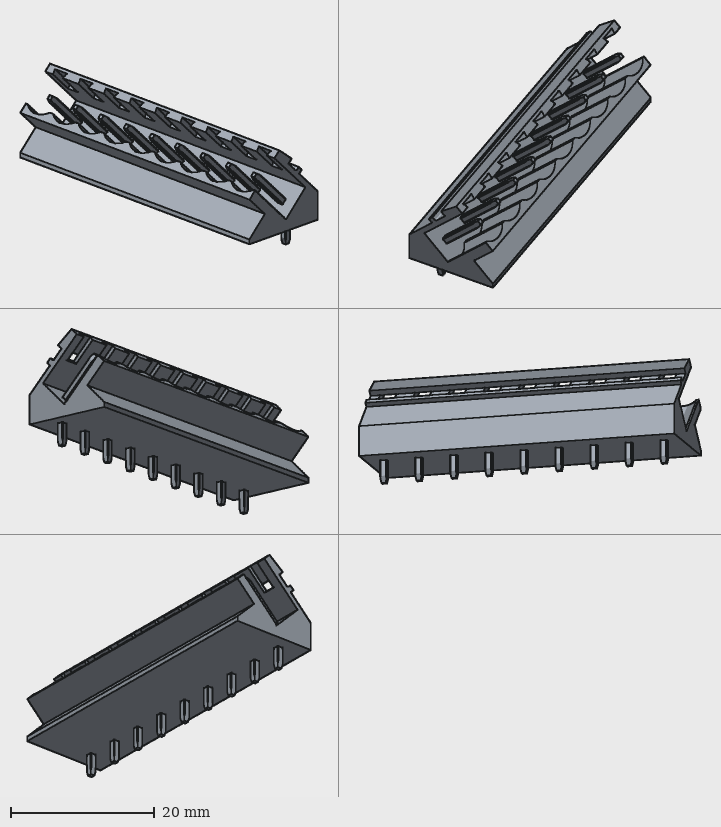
import cadquery as cq
import math


length = 45.7
pin_count = 9
pitch = length / pin_count
depth = 13.3

tilt = math.radians(45)
slot_corner_y = -6.15
slot_corner_z = 1.8
slot_width = 5.3
arm_length = 8.5
foot_slope_along = 4.3

lower_arm_thickness = 1.55
upper_arm_thickness = 0.82
head_start_along = 5.45
head_step_height = 0.85
head_tip_height = 0.5

rib_start_along = 2.5
rib_width = 0.82
rib_height = 0.7
rib_fillet = 0.27

channel_start_along = 4.35
channel_inner_width = 1.95
channel_outer_width = 2.4

scallop_radius = 3.3
scallop_depth = 0.85

pin_width = 1.0
pin_edge_chamfer = 0.15
pin_tip_length = 0.95
pin_tip_width = 0.65
lead_y = -3.8
lead_drop = 3.2
contact_across = 2.3
contact_end_along = 7.65

arm_outer_across = slot_width + upper_arm_thickness


def slot_point(along, across):
    """Return (y, z) of a point given in the tilted directions of the slot."""
    y = slot_corner_y - along * math.cos(tilt) + across * math.sin(tilt)
    z = slot_corner_z + along * math.sin(tilt) + across * math.cos(tilt)
    return y, z


def slot_plane(along):
    """Plane square to the slot: local x is X, local y runs across, the normal runs along."""
    y, z = slot_point(along, 0)
    return cq.Plane(
        origin=(0, y, z), xDir=(1, 0, 0), normal=(0, -math.cos(tilt), math.sin(tilt))
    )


def make_body():
    """Extruded cross-section: block, two arms, head and rib."""
    slope_y, slope_z = slot_point(foot_slope_along, -lower_arm_thickness)
    lip_height = slope_z - (depth + slope_y) * math.tan(tilt)
    outer_y, outer_z = slot_point(0, arm_outer_across)
    back_height = outer_z + outer_y * math.tan(tilt)
    rib_end_along = rib_start_along + rib_width
    outline = [
        (0, 0),
        (-depth, 0),
        (-depth, lip_height),
        (slope_y, slope_z),
        slot_point(arm_length, -lower_arm_thickness),
        slot_point(arm_length, 0),
        slot_point(0, 0),
        slot_point(0, slot_width),
        slot_point(arm_length, slot_width),
        slot_point(arm_length, arm_outer_across + head_tip_height),
        slot_point(head_start_along, arm_outer_across + head_step_height),
        slot_point(head_start_along, arm_outer_across),
        slot_point(rib_end_along, arm_outer_across),
        slot_point(rib_end_along, arm_outer_across + rib_height),
        slot_point(rib_start_along, arm_outer_across + rib_height),
        slot_point(rib_start_along, arm_outer_across),
        (0, back_height),
    ]
    body = cq.Workplane("YZ").polyline(outline).close().extrude(length / 2, both=True)
    root_y, root_z = slot_point(rib_end_along, arm_outer_across)
    root_edge = cq.selectors.NearestToPointSelector((0, root_y, root_z))
    return body.edges(root_edge).fillet(rib_fillet)


def make_channel(x):
    """Dovetail channel through the upper arm, under its head and open at its end."""
    corners = [
        (x - channel_inner_width / 2, slot_width),
        (x + channel_inner_width / 2, slot_width),
        (x + channel_outer_width / 2, arm_outer_across),
        (x - channel_outer_width / 2, arm_outer_across),
    ]
    profile = cq.Workplane(slot_plane(channel_start_along)).polyline(corners).close()
    return profile.extrude(arm_length - channel_start_along)


def make_scallop(x):
    """Round hollow along the whole lower wall of the slot."""
    centre_across = scallop_radius - scallop_depth
    cylinder = cq.Workplane(slot_plane(0)).center(x, centre_across).circle(scallop_radius)
    keep_below_wall = (
        cq.Workplane(slot_plane(0)).center(x, -scallop_depth / 2).rect(pitch, scallop_depth)
    )
    return cylinder.extrude(arm_length).intersect(keep_below_wall.extrude(arm_length))


def pin_section(plane):
    """Square pin section with cut corners."""
    half = pin_width / 2
    flat = half - pin_edge_chamfer
    corners = [
        (half, flat), (flat, half), (-flat, half), (-half, flat),
        (-half, -flat), (-flat, -half), (flat, -half), (half, -flat),
    ]
    return cq.Workplane(plane).polyline(corners).close()


def pin_tip(plane):
    """Pin end along the plane's normal: the shank section trimmed by four sloping faces."""
    taper = (
        cq.Workplane(plane).rect(pin_width, pin_width)
        .workplane(offset=pin_tip_length).rect(pin_tip_width, pin_tip_width)
        .loft()
    )
    return pin_section(plane).extrude(pin_tip_length).intersect(taper)


def make_pin(x):
    """Bent pin: vertical lead below, contact leg tilted into the slot above."""
    contact_tip_y, contact_tip_z = slot_point(contact_end_along - pin_tip_length, contact_across)
    bend_z = contact_tip_z - (lead_y - contact_tip_y) * math.tan(tilt)
    lead_tip_z = pin_tip_length - lead_drop

    path = cq.Workplane("YZ", origin=(x, 0, 0)).polyline(
        [(lead_y, lead_tip_z), (lead_y, bend_z), (contact_tip_y, contact_tip_z)]
    )
    lead_start = cq.Plane((x, lead_y, lead_tip_z), (1, 0, 0), (0, 0, 1))
    shank = pin_section(lead_start).sweep(path, transition="right")

    lead_tip = pin_tip(cq.Plane((x, lead_y, lead_tip_z), (1, 0, 0), (0, 0, -1)))
    contact_tip = pin_tip(
        cq.Plane((x, contact_tip_y, contact_tip_z), (1, 0, 0), slot_plane(0).zDir)
    )
    return shank.union(lead_tip).union(contact_tip)


pin_places = [(i - (pin_count - 1) / 2) * pitch for i in range(pin_count)]
pins = [make_pin(x) for x in pin_places]

housing = make_body()
for x, pin in zip(pin_places, pins):
    housing = housing.cut(make_channel(x)).cut(make_scallop(x)).cut(pin)

result = cq.Compound.makeCompound([housing.val(), *[pin.val() for pin in pins]])